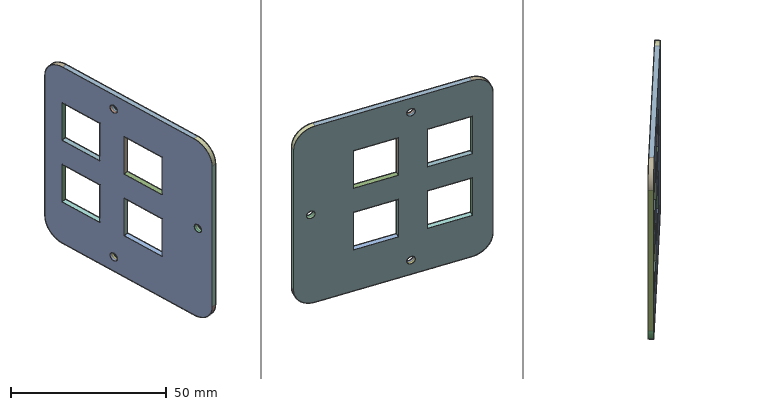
import cadquery as cq

PLATE_WIDTH = 70.0
PLATE_HEIGHT = 74.4
PLATE_THICKNESS = 1.8
CORNER_RADIUS = 7.5

WINDOW_SIZE = 15.8
WINDOW_PITCH = 26.0
WINDOW_GRID_X = -6.9
WINDOW_GRID_Z = 1.1

HOLE_DIAMETER = 3.0
PAIR_X = -6.2
PAIR_SPACING = 62.4
SIDE_HOLE_X = 29.0
SIDE_HOLE_Z = 0.2


def make_plate():
    """Upright plate centred on the origin, with rounded corners."""
    plate = cq.Workplane("XY").box(PLATE_WIDTH, PLATE_THICKNESS, PLATE_HEIGHT)
    return plate.edges("|Y").fillet(CORNER_RADIUS)


def make_windows():
    """Square through cutters for the window grid."""
    return (
        cq.Workplane("XZ", origin=(WINDOW_GRID_X, 0, WINDOW_GRID_Z))
        .rarray(WINDOW_PITCH, WINDOW_PITCH, 2, 2)
        .rect(WINDOW_SIZE, WINDOW_SIZE)
        .extrude(PLATE_THICKNESS, both=True)
    )


def make_screw_holes():
    """Round through cutters for the three screws."""
    centres = [
        (PAIR_X, PAIR_SPACING / 2),
        (PAIR_X, -PAIR_SPACING / 2),
        (SIDE_HOLE_X, SIDE_HOLE_Z),
    ]
    return (
        cq.Workplane("XZ")
        .pushPoints(centres)
        .circle(HOLE_DIAMETER / 2)
        .extrude(PLATE_THICKNESS, both=True)
    )


result = make_plate().cut(make_windows()).cut(make_screw_holes())